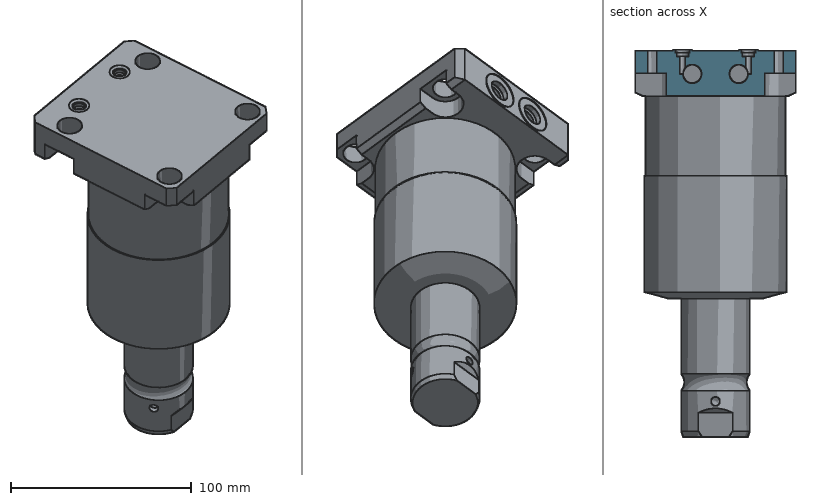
import cadquery as cq
import math


TOTAL_HEIGHT = 214.1

PLATE_LENGTH = 100.0
PLATE_WIDTH = 88.9
PLATE_THICKNESS = 25.0
PLATE_LEFT = -55.7
PLATE_RIGHT = PLATE_LEFT + PLATE_LENGTH
CORNER_CHAMFER = 4.0
BOTTOM_BEVEL_HEIGHT = 2.0
BOTTOM_BEVEL_INSET = 4.0

BOLT_PITCH = 70.0
BOLT_HOLE_DIAMETER = 13.7
SPOTFACE_RADIUS = 10.0
SPOTFACE_TOP = -PLATE_THICKNESS / 2

PORT_SPACING = 25.7
PORT_DIAMETER = 10.0
PORT_MOUTH_DIAMETER = 12.2
PORT_MOUTH_DEPTH = 3.5
PORT_DEPTH = 17.1
PORT_FACE_DIAMETER = 21.2
PORT_FACE_DEPTH = 0.5
PORT_Z = -12.8

SEAL_X = -41.5
SEAL_SPACING = 36.5
SEAL_SEAT_RADIUS = 5.5
SEAL_CORD_RADIUS = 0.9
SEAL_PROTRUSION = 0.6
SEAL_SEAT_DEPTH = 2 * SEAL_CORD_RADIUS - SEAL_PROTRUSION
SEAL_EMBED = 0.1
SEAL_RECESS_RADIUS = 3.2
SEAL_RECESS_DEPTH = 3.2
SEAL_PORT_DIAMETER = 2.8

HEAD_RADIUS = 38.8
BODY_RADIUS = 39.5
BODY_TOP = -69.2
BODY_TAPER_TOP = -133.5
BODY_BOTTOM = -137.0
BODY_BOTTOM_RADIUS = 26.1
ROD_RADIUS = 19.0
ROD_BOTTOM = SEAL_PROTRUSION - TOTAL_HEIGHT
GROOVE_TOP = -178.5
GROOVE_BOTTOM = -187.8
GROOVE_DEPTH = 1.7
ROD_END_BEVEL_HEIGHT = 3.2
ROD_END_BEVEL_INSET = 1.0

FLAT_DISTANCE = 16.5
FLAT_TOP = -200.2
SPANNER_HOLE_DIAMETER = 5.0
SPANNER_HOLE_DEPTH = 3.2
DRILL_POINT_ANGLE = 118
SPANNER_HOLE_Z = -193.8
SPANNER_HOLE_COUNT = 3

CUT_MARGIN = 10.7


def mirrored_pair(shape):
    """The shape together with its mirror image across the XZ plane."""
    return shape.union(shape.mirror("XZ"))


def edge_bevel_cutter(plane, start, edge, length):
    """Triangular prism that bevels the bottom plate edge lying at the given negative position."""
    return (
        cq.Workplane(plane, origin=start)
        .moveTo(edge, -PLATE_THICKNESS + BOTTOM_BEVEL_HEIGHT)
        .lineTo(edge + BOTTOM_BEVEL_INSET, -PLATE_THICKNESS)
        .lineTo(edge, -PLATE_THICKNESS)
        .close()
        .extrude(length)
    )


def left_spotface():
    """Round-ended slot under the -X, -Y bolt hole, open to the -Y side."""
    center = -BOLT_PITCH / 2
    open_y = -PLATE_WIDTH / 2 - CUT_MARGIN
    return (
        cq.Workplane("XY", origin=(0, 0, SPOTFACE_TOP))
        .moveTo(center - SPOTFACE_RADIUS, open_y)
        .lineTo(center - SPOTFACE_RADIUS, center)
        .threePointArc((center, center + SPOTFACE_RADIUS), (center + SPOTFACE_RADIUS, center))
        .lineTo(center + SPOTFACE_RADIUS, open_y)
        .close()
        .extrude(-PLATE_THICKNESS)
    )


def right_spotface():
    """Corner relief under the +X, -Y bolt hole, open to both outer sides."""
    corner = BOLT_PITCH / 2 - SPOTFACE_RADIUS
    size = PLATE_RIGHT + CUT_MARGIN - corner
    return (
        cq.Workplane("XY", origin=(corner, -corner, SPOTFACE_TOP))
        .rect(size, -size, centered=False)
        .extrude(-PLATE_THICKNESS)
        .edges("|Z and <X and >Y")
        .fillet(SPOTFACE_RADIUS)
    )


def mounting_plate():
    """Plate with chamfered corners, bevelled lower edges, bolt holes and spotfaces."""
    plate = (
        cq.Workplane("XY")
        .center((PLATE_LEFT + PLATE_RIGHT) / 2, 0)
        .rect(PLATE_LENGTH, PLATE_WIDTH)
        .extrude(-PLATE_THICKNESS)
        .edges("|Z")
        .chamfer(CORNER_CHAMFER)
    )
    long_bevel = edge_bevel_cutter("YZ", (PLATE_LEFT, 0, 0), -PLATE_WIDTH / 2, PLATE_LENGTH)
    end_bevel = edge_bevel_cutter("XZ", (0, PLATE_WIDTH / 2, 0), -PLATE_RIGHT, PLATE_WIDTH).mirror("YZ")
    plate = plate.cut(mirrored_pair(long_bevel)).cut(end_bevel)
    bolt_holes = (
        cq.Workplane("XY")
        .rect(BOLT_PITCH, BOLT_PITCH, forConstruction=True)
        .vertices()
        .circle(BOLT_HOLE_DIAMETER / 2)
        .extrude(-PLATE_THICKNESS)
    )
    plate = plate.cut(bolt_holes)
    plate = plate.cut(mirrored_pair(left_spotface()))
    return plate.cut(mirrored_pair(right_spotface()))


def body_and_rod():
    """Stepped cylinder body and piston rod, turned about the Z axis."""
    groove_middle = (GROOVE_TOP + GROOVE_BOTTOM) / 2
    return (
        cq.Workplane("XZ")
        .moveTo(0, -PLATE_THICKNESS)
        .lineTo(HEAD_RADIUS, -PLATE_THICKNESS)
        .lineTo(HEAD_RADIUS, BODY_TOP)
        .lineTo(BODY_RADIUS, BODY_TOP)
        .lineTo(BODY_RADIUS, BODY_TAPER_TOP)
        .lineTo(BODY_BOTTOM_RADIUS, BODY_BOTTOM)
        .lineTo(ROD_RADIUS, BODY_BOTTOM)
        .lineTo(ROD_RADIUS, GROOVE_TOP)
        .threePointArc((ROD_RADIUS - GROOVE_DEPTH, groove_middle), (ROD_RADIUS, GROOVE_BOTTOM))
        .lineTo(ROD_RADIUS, ROD_BOTTOM + ROD_END_BEVEL_HEIGHT)
        .lineTo(ROD_RADIUS - ROD_END_BEVEL_INSET, ROD_BOTTOM)
        .lineTo(0, ROD_BOTTOM)
        .close()
        .revolve(360, (0, 0), (0, 1))
    )


def wrench_flat_cutter():
    """Cutter for the +X wrench flat, with a 45 degree run-out at its top."""
    outer = ROD_RADIUS + CUT_MARGIN
    return (
        cq.Workplane("XZ", origin=(0, ROD_RADIUS, 0))
        .moveTo(FLAT_DISTANCE, ROD_BOTTOM)
        .lineTo(FLAT_DISTANCE, FLAT_TOP)
        .lineTo(outer, FLAT_TOP + outer - FLAT_DISTANCE)
        .lineTo(outer, ROD_BOTTOM)
        .close()
        .extrude(2 * ROD_RADIUS)
    )


def spanner_holes():
    """Pointed radial holes equally spaced around the rod, the first on the -X side."""
    hole_radius = SPANNER_HOLE_DIAMETER / 2
    point_length = hole_radius / math.tan(math.radians(DRILL_POINT_ANGLE / 2))
    hole = (
        cq.Workplane("XY")
        .moveTo(0, 0)
        .lineTo(0, hole_radius)
        .lineTo(SPANNER_HOLE_DEPTH, hole_radius)
        .lineTo(SPANNER_HOLE_DEPTH + point_length, 0)
        .close()
        .revolve(360, (0, 0), (1, 0))
        .translate((-ROD_RADIUS, 0, SPANNER_HOLE_Z))
    )
    holes = hole
    for index in range(1, SPANNER_HOLE_COUNT):
        holes = holes.union(hole.rotate((0, 0, 0), (0, 0, 1), index * 360 / SPANNER_HOLE_COUNT))
    return holes


def side_port(y):
    """Port cut into the -X side: sealing face, wide mouth, 45 degree step and bore."""
    mouth_radius = PORT_MOUTH_DIAMETER / 2
    bore_radius = PORT_DIAMETER / 2
    cone_end = PORT_MOUTH_DEPTH + mouth_radius - bore_radius
    face_radius = PORT_FACE_DIAMETER / 2
    return (
        cq.Workplane("XY")
        .moveTo(0, 0)
        .lineTo(0, face_radius)
        .lineTo(PORT_FACE_DEPTH, face_radius)
        .lineTo(PORT_FACE_DEPTH, mouth_radius)
        .lineTo(PORT_MOUTH_DEPTH, mouth_radius)
        .lineTo(cone_end, bore_radius)
        .lineTo(PORT_DEPTH, bore_radius)
        .lineTo(PORT_DEPTH, 0)
        .close()
        .revolve(360, (0, 0), (1, 0))
        .translate((PLATE_LEFT, y, PORT_Z))
    )


def seal_seat(y):
    """Round seat for an O-ring, with a deeper recess and a small port down to the side port."""
    seat = cq.Workplane("XY").circle(SEAL_SEAT_RADIUS).extrude(-SEAL_SEAT_DEPTH)
    recess = cq.Workplane("XY").circle(SEAL_RECESS_RADIUS).extrude(-SEAL_RECESS_DEPTH)
    port = cq.Workplane("XY").circle(SEAL_PORT_DIAMETER / 2).extrude(PORT_Z)
    return seat.union(recess).union(port).translate((SEAL_X, y, 0))


def seal_ring(y):
    """O-ring standing slightly proud of the plate, joined to its seat."""
    cord_radius = SEAL_CORD_RADIUS + SEAL_EMBED
    ring_radius = SEAL_SEAT_RADIUS - SEAL_CORD_RADIUS
    return (
        cq.Workplane("XZ")
        .center(ring_radius, SEAL_PROTRUSION - cord_radius)
        .circle(cord_radius)
        .revolve(360, (-ring_radius, 0), (-ring_radius, 1))
        .translate((SEAL_X, y, 0))
    )


result = mounting_plate().union(body_and_rod())

flat_cutter = wrench_flat_cutter()
result = result.cut(flat_cutter).cut(flat_cutter.mirror("YZ"))
result = result.cut(spanner_holes())

for side in (-1, 1):
    result = result.cut(side_port(side * PORT_SPACING / 2))
    result = result.cut(seal_seat(side * SEAL_SPACING / 2))
    result = result.union(seal_ring(side * SEAL_SPACING / 2))